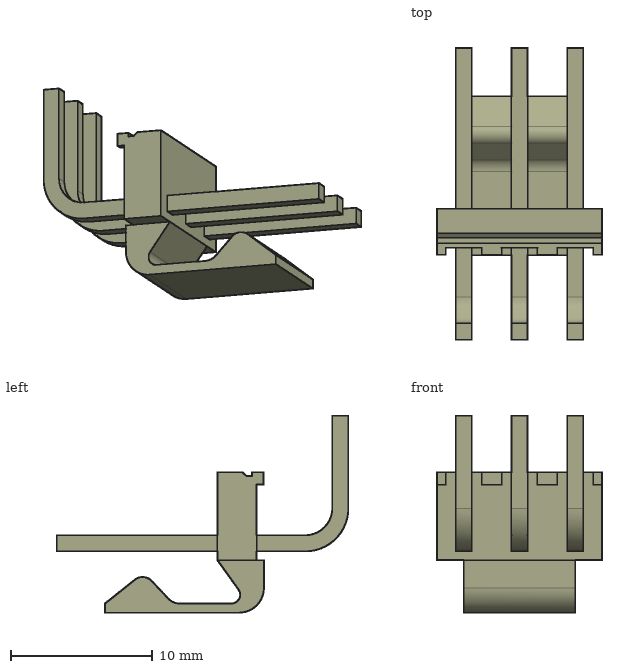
import cadquery as cq


pin_count = 3
pitch = 3.95
pin_size = 1.15
pin_back_y = 14.19
pin_front_y = pin_back_y - 20.7
pin_top_z = 9.05
bend_inner_radius = 1.9

housing_width = 11.72
housing_depth = 2.78
housing_top_z = 5.05
housing_bottom_z = -1.2
groove_depth = 0.27
groove_floor = 0.37
groove_slope = 0.31
lip_thickness = 0.33

tab_height = 0.9
tab_reach = 0.5
inner_tab_width = 1.4
end_tab_width = 0.65

latch_width = (pin_count - 1) * pitch
latch_bottom_z = -4.93
latch_thickness = 0.66
latch_front_y = -0.54
latch_back_y = 10.75
latch_outer_radius = 1.78
throat_y = 0.58
throat_radius = 0.62
hook_foot_y = 5.92
hook_foot_radius = 1.12
hook_peak_y = 8.0
hook_peak_height = 2.2
hook_peak_radius = 0.87


def extrude_profile(points, width):
    """Extrude a closed (Y, Z) outline symmetrically about X = 0."""
    return cq.Workplane("YZ").polyline(points).close().extrude(width / 2, both=True)


def round_edge(body, y, z, radius):
    """Fillet the X-parallel edge at the given (Y, Z) corner."""
    return body.edges(cq.selectors.NearestToPointSelector((0, y, z))).fillet(radius)


def make_housing():
    """Block with a groove along its top, behind a thin front lip."""
    groove_back_y = lip_thickness + groove_floor
    groove_z = housing_top_z - groove_depth
    return extrude_profile(
        [
            (0, housing_bottom_z),
            (housing_depth, housing_bottom_z),
            (housing_depth, housing_top_z),
            (groove_back_y + groove_slope, housing_top_z),
            (groove_back_y, groove_z),
            (lip_thickness, groove_z),
            (lip_thickness, housing_top_z),
            (0, housing_top_z),
        ],
        housing_width,
    )


def make_tab(center_x, width):
    """Tab flush with the housing top, rooted in the lip so that they merge."""
    return cq.Workplane("XY").box(
        width, tab_reach + lip_thickness, tab_height, centered=(True, False, False)
    ).translate((center_x, -tab_reach, housing_top_z - tab_height))


def make_pin(center_x):
    """Square pin running along Y and bent upward at its front end."""
    half = pin_size / 2
    inner_y = pin_front_y + pin_size
    pin = extrude_profile(
        [
            (pin_back_y, -half),
            (pin_front_y, -half),
            (pin_front_y, pin_top_z),
            (inner_y, pin_top_z),
            (inner_y, half),
            (pin_back_y, half),
        ],
        pin_size,
    )
    pin = round_edge(pin, pin_front_y, -half, bend_inner_radius + pin_size)
    pin = round_edge(pin, inner_y, half, bend_inner_radius)
    return pin.translate((center_x, 0, 0))


def make_latch():
    """Arm hanging below the housing, turning back and ending in a ramped hook."""
    arm_top_z = latch_bottom_z + latch_thickness
    hook_peak_z = arm_top_z + hook_peak_height
    latch = extrude_profile(
        [
            (latch_front_y, housing_bottom_z),
            (latch_front_y, latch_bottom_z),
            (latch_back_y, latch_bottom_z),
            (latch_back_y, arm_top_z),
            (hook_peak_y, hook_peak_z),
            (hook_foot_y, arm_top_z),
            (throat_y, arm_top_z),
            (housing_depth, housing_bottom_z),
        ],
        latch_width,
    )
    latch = round_edge(latch, latch_front_y, latch_bottom_z, latch_outer_radius)
    latch = round_edge(latch, hook_peak_y, hook_peak_z, hook_peak_radius)
    latch = round_edge(latch, hook_foot_y, arm_top_z, hook_foot_radius)
    return round_edge(latch, throat_y, arm_top_z, throat_radius)


result = make_housing().union(make_latch())

for side in (-1, 1):
    end_tab_x = side * (housing_width - end_tab_width) / 2
    result = result.union(make_tab(end_tab_x, end_tab_width))

first_pin_x = -(pin_count - 1) * pitch / 2
for index in range(pin_count):
    pin_x = first_pin_x + index * pitch
    result = result.union(make_pin(pin_x))
    if index < pin_count - 1:
        result = result.union(make_tab(pin_x + pitch / 2, inner_tab_width))